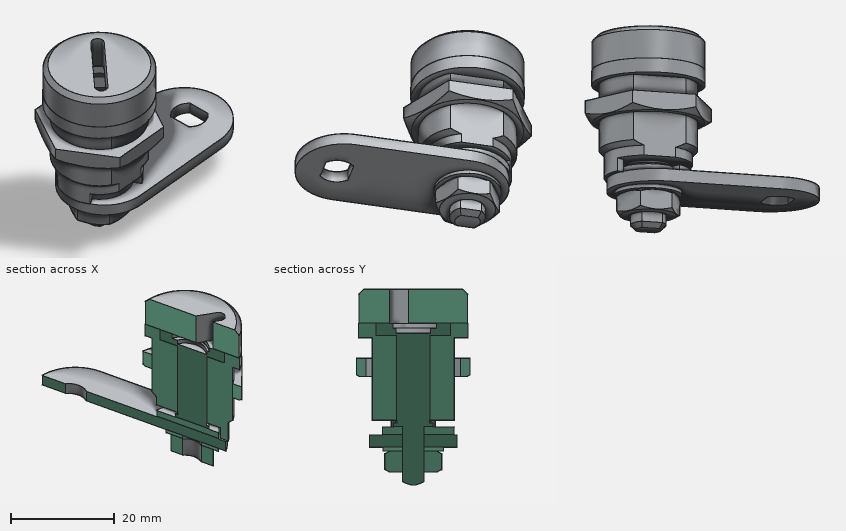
import cadquery as cq
import math


CAP_TOP = 9.45
FLANGE_TOP = 2.8
LOCK_NUT_TOP = -3.9
LOCK_NUT_BOTTOM = -7.45
BODY_TAPER_TOP = -13.0
HOUSING_BOTTOM = -15.92
COLLAR_TOP = -16.45
STOP_DISC_TOP = -17.2
TONGUE_BOTTOM = -18.5
CAM_TOP = -18.75
CAM_BOTTOM = -21.15
WASHER_BOTTOM = -21.9
END_NUT_BOTTOM = -25.9
SPINDLE_BOTTOM = -28.75

EDGE_CHAMFER = 1.0
HEX_CHAMFER_ANGLE = 30
HEX_TURN = 30
SLOT_ANGLE = -45

CAP_RADIUS = 10.95
SLOT_LENGTH = 15.95
SLOT_WIDTH = 2.55

FLANGE_RADIUS = 10.97
BODY_RADIUS = 9.55
NOSE_RADIUS = BODY_RADIUS - EDGE_CHAMFER
BODY_FLAT_WIDTH = 15.9
TONGUE_INNER_RADIUS = 6.9
TONGUE_START = -120
TONGUE_SWEEP = 60
CAM_TURN = 90

HEAD_RADIUS = 7.65
HEAD_THICKNESS = 2.35
NECK_RADIUS = 4.25
COLLAR_RADIUS = 4.7
STEM_RADIUS = 3.45
STEM_FLAT_WIDTH = 5.5
RECESS_RADIUS = 5.15
RECESS_OFFSET = -0.4
RECESS_DEPTH = 0.95
POCKET_RADIUS = 4.25
POCKET_FLAT = -2.35
POCKET_DEPTH = 1.85

LOCK_NUT_FLATS = 22.0
LOCK_NUT_FACE_RADIUS = 10.85
END_NUT_FLATS = 11.0
END_NUT_FACE_RADIUS = 5.4
WASHER_RADIUS = 6.5

STOP_RADIUS = 8.4
STOP_NOTCH_RADIUS = 6.6
NOTCH_OVERCUT = 0.45

CAM_WIDTH = 18.95
CAM_NEAR_CENTRE = 1.5
CAM_FAR_CENTRE = 24.5
CAM_HOLE_CENTRE = 25.95
CAM_HOLE_DIAMETER = 7.2
CAM_HOLE_FLAT_WIDTH = 5.5


def cylinder(radius, bottom, top):
    return cq.Workplane("XY").workplane(offset=bottom).circle(radius).extrude(top - bottom)


def box(size_x, size_y, bottom, top):
    return cq.Workplane("XY").workplane(offset=bottom).rect(size_x, size_y).extrude(top - bottom)


def double_d(diameter, flat_width, bottom, top):
    """Round bar with two flats that face -X and +X."""
    return cylinder(diameter / 2, bottom, top).intersect(box(flat_width, diameter, bottom, top))


def ring_sector(inner_radius, outer_radius, start, sweep, bottom, top):
    """Part of a ring with radial ends; angles are in degrees from +X."""

    def point(radius, angle):
        return (radius * math.cos(math.radians(angle)), radius * math.sin(math.radians(angle)))

    middle = start + sweep / 2
    end = start + sweep
    return (
        cq.Workplane("XY")
        .workplane(offset=bottom)
        .moveTo(*point(inner_radius, start))
        .lineTo(*point(outer_radius, start))
        .threePointArc(point(outer_radius, middle), point(outer_radius, end))
        .lineTo(*point(inner_radius, end))
        .threePointArc(point(inner_radius, middle), point(inner_radius, start))
        .close()
        .extrude(top - bottom)
    )


def hex_nut(flats, face_radius, bore_radius, bottom, top, chamfer_top):
    """Hexagonal nut with corners on Y and its corners turned down to a round end face."""
    corner_radius = flats / math.sqrt(3)
    drop = (corner_radius - face_radius) * math.tan(math.radians(HEX_CHAMFER_ANGLE))
    hexagon = (
        cq.Workplane("XY")
        .workplane(offset=bottom)
        .polygon(6, 2 * corner_radius)
        .extrude(top - bottom)
        .rotate((0, 0, 0), (0, 0, 1), HEX_TURN)
    )
    profile = cq.Workplane("XZ").moveTo(0, bottom).lineTo(face_radius, bottom)
    profile = profile.lineTo(corner_radius, bottom + drop)
    if chamfer_top:
        profile = profile.lineTo(corner_radius, top - drop).lineTo(face_radius, top)
    else:
        profile = profile.lineTo(corner_radius, top)
    turned = profile.lineTo(0, top).close().revolve(360, (0, 0), (0, 1))
    return hexagon.intersect(turned).cut(cylinder(bore_radius, bottom, top))


def make_cap():
    blank = cylinder(CAP_RADIUS, FLANGE_TOP, CAP_TOP).faces(">Z").chamfer(EDGE_CHAMFER)
    slot = (
        cq.Workplane("XY")
        .workplane(offset=FLANGE_TOP)
        .slot2D(SLOT_LENGTH, SLOT_WIDTH, SLOT_ANGLE)
        .extrude(CAP_TOP - FLANGE_TOP)
    )
    return blank.cut(slot)


def make_housing():
    flange = cylinder(FLANGE_RADIUS, 0, FLANGE_TOP)
    body = cylinder(BODY_RADIUS, BODY_TAPER_TOP - EDGE_CHAMFER, 0).faces("<Z").chamfer(EDGE_CHAMFER)
    nose = cylinder(NOSE_RADIUS, TONGUE_BOTTOM, 0)
    flats = box(BODY_FLAT_WIDTH, 2 * BODY_RADIUS, TONGUE_BOTTOM, 0)
    tongue_space = ring_sector(
        TONGUE_INNER_RADIUS, BODY_RADIUS, TONGUE_START, TONGUE_SWEEP, TONGUE_BOTTOM, HOUSING_BOTTOM
    )
    below_nose = cylinder(BODY_RADIUS, TONGUE_BOTTOM, HOUSING_BOTTOM).cut(tongue_space)
    barrel = body.union(nose).intersect(flats).cut(below_nose)
    head_seat = cylinder(HEAD_RADIUS, FLANGE_TOP - HEAD_THICKNESS, FLANGE_TOP)
    neck_bore = cylinder(NECK_RADIUS, HOUSING_BOTTOM, FLANGE_TOP)
    return flange.union(barrel).cut(head_seat).cut(neck_bore)


def make_spindle():
    head = cylinder(HEAD_RADIUS, FLANGE_TOP - HEAD_THICKNESS, FLANGE_TOP)
    neck = cylinder(NECK_RADIUS, COLLAR_TOP, FLANGE_TOP - HEAD_THICKNESS)
    collar = cylinder(COLLAR_RADIUS, STOP_DISC_TOP, COLLAR_TOP)
    round_stem = cylinder(STEM_RADIUS, SPINDLE_BOTTOM, STOP_DISC_TOP).faces("<Z").chamfer(EDGE_CHAMFER)
    flat_stem = box(STEM_FLAT_WIDTH, 2 * STEM_RADIUS, SPINDLE_BOTTOM, STOP_DISC_TOP)
    flat_stem = flat_stem.faces("<Z").edges("|Y").chamfer(EDGE_CHAMFER)
    stem = round_stem.intersect(flat_stem)
    recess = cylinder(RECESS_RADIUS, FLANGE_TOP - RECESS_DEPTH, FLANGE_TOP).translate((RECESS_OFFSET, 0, 0))
    pocket_block = box(2 * POCKET_RADIUS, 2 * POCKET_RADIUS, FLANGE_TOP - POCKET_DEPTH, FLANGE_TOP)
    pocket = cylinder(POCKET_RADIUS, FLANGE_TOP - POCKET_DEPTH, FLANGE_TOP).intersect(
        pocket_block.translate((POCKET_FLAT + POCKET_RADIUS, 0, 0))
    )
    key_recess = recess.union(pocket).rotate((0, 0, 0), (0, 0, 1), SLOT_ANGLE)
    return head.union(neck).union(collar).union(stem).cut(key_recess)


def make_stop_disc():
    disc = cylinder(STOP_RADIUS, CAM_TOP, STOP_DISC_TOP)
    notch = ring_sector(
        STOP_NOTCH_RADIUS,
        STOP_RADIUS + NOTCH_OVERCUT,
        TONGUE_START,
        TONGUE_SWEEP + CAM_TURN,
        CAM_TOP,
        STOP_DISC_TOP,
    )
    return disc.cut(notch).cut(double_d(2 * STEM_RADIUS, STEM_FLAT_WIDTH, CAM_TOP, STOP_DISC_TOP))


def make_cam():
    straight_length = CAM_FAR_CENTRE - CAM_NEAR_CENTRE
    plate = (
        cq.Workplane("XY")
        .workplane(offset=CAM_BOTTOM)
        .center(0, (CAM_NEAR_CENTRE + CAM_FAR_CENTRE) / 2)
        .slot2D(straight_length + CAM_WIDTH, CAM_WIDTH, 90)
        .extrude(CAM_TOP - CAM_BOTTOM)
    )
    stem_hole = double_d(2 * STEM_RADIUS, STEM_FLAT_WIDTH, CAM_BOTTOM, CAM_TOP)
    end_hole = (
        double_d(CAM_HOLE_DIAMETER, CAM_HOLE_FLAT_WIDTH, CAM_BOTTOM, CAM_TOP)
        .rotate((0, 0, 0), (0, 0, 1), 90)
        .translate((0, CAM_HOLE_CENTRE, 0))
    )
    return plate.cut(stem_hole).cut(end_hole)


def make_washer():
    return cylinder(WASHER_RADIUS, WASHER_BOTTOM, CAM_BOTTOM).cut(
        cylinder(STEM_RADIUS, WASHER_BOTTOM, CAM_BOTTOM)
    )


cap = make_cap()
housing = make_housing()
spindle = make_spindle()
lock_nut = hex_nut(
    LOCK_NUT_FLATS, LOCK_NUT_FACE_RADIUS, BODY_RADIUS, LOCK_NUT_BOTTOM, LOCK_NUT_TOP, chamfer_top=False
)
stop_disc = make_stop_disc()
cam = make_cam()
washer = make_washer()
end_nut = hex_nut(
    END_NUT_FLATS, END_NUT_FACE_RADIUS, STEM_RADIUS, END_NUT_BOTTOM, WASHER_BOTTOM, chamfer_top=True
)

result = cq.Compound.makeCompound(
    [
        cap.val(),
        housing.val(),
        spindle.val(),
        lock_nut.val(),
        stop_disc.val(),
        cam.val(),
        washer.val(),
        end_nut.val(),
    ]
)